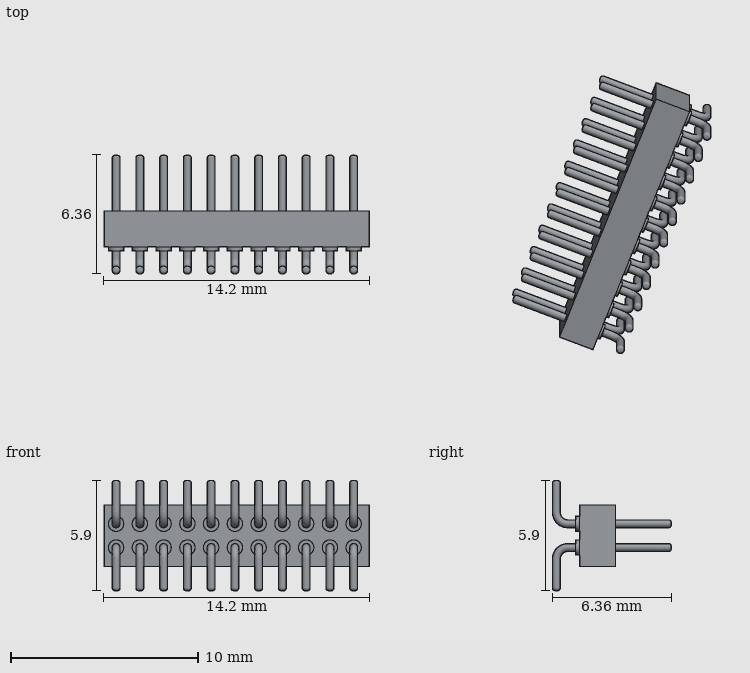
import cadquery as cq

pitch = 1.27
pins_per_row = 11
row_height = pitch / 2

body_length = 14.18
body_depth = 1.92
body_height = 3.3
first_pin_margin = pitch / 2

pin_diameter = 0.43
pin_radius = pin_diameter / 2
tip_rounding = 0.15
overall_depth = 6.36
overall_height = 5.9
back_length = 2.98
bend_radius = 0.61
back_tip_y = body_depth + back_length
tail_y = back_tip_y - overall_depth + pin_radius
tail_length = overall_height / 2 - row_height

collar_diameter = 0.82
collar_thickness = 0.21


def make_body():
    block = cq.Workplane("XY").box(body_length, body_depth, body_height, centered=(False, False, True))
    return block.translate((-first_pin_margin, 0, 0))


def make_pin():
    """One collared pin at X = 0, Z = 0: straight along Y, then bent up to +Z at the front."""
    bend_start_y = tail_y + bend_radius
    path = (
        cq.Workplane("YZ")
        .moveTo(back_tip_y, 0)
        .lineTo(bend_start_y, 0)
        .tangentArcPoint((tail_y, bend_radius), relative=False)
        .lineTo(tail_y, tail_length)
    )
    wire = cq.Workplane("XZ", origin=(0, back_tip_y, 0)).circle(pin_radius).sweep(path)
    rounded_wire = wire.faces(">Y or >Z").edges().fillet(tip_rounding)
    collar = cq.Workplane("XZ").circle(collar_diameter / 2).extrude(collar_thickness)
    return rounded_wire.union(collar)


result = make_body()
upper_pin = make_pin().translate((0, 0, row_height))
lower_pin = upper_pin.mirror("XY")
for index in range(pins_per_row):
    for pin in (upper_pin, lower_pin):
        result = result.union(pin.translate((index * pitch, 0, 0)))